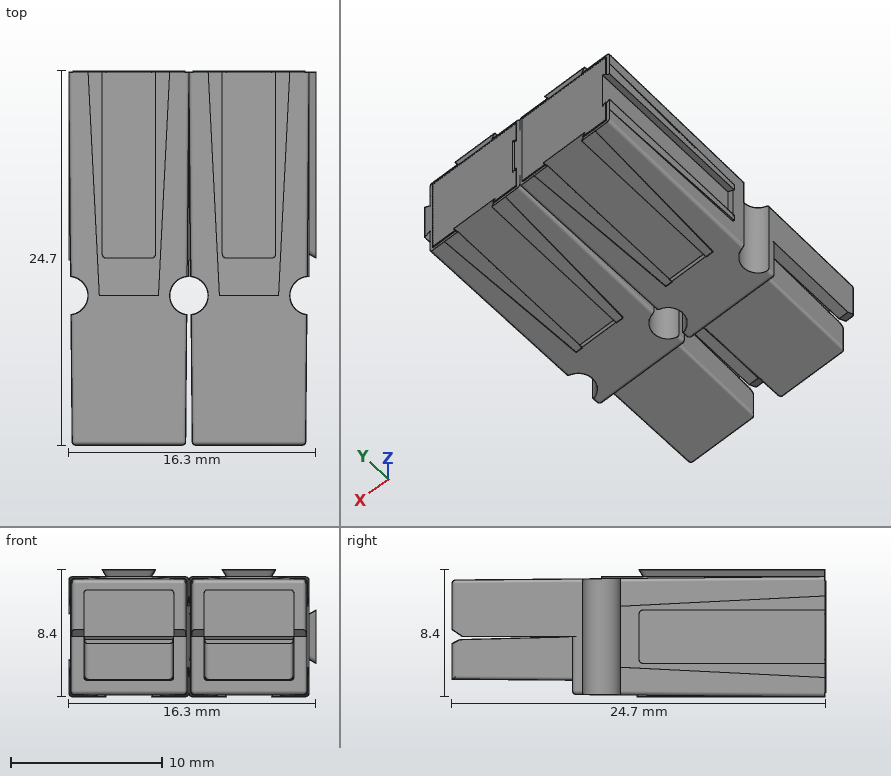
import cadquery as cq
import math


length = 24.7
size = 7.93
draft = 0.5
edge_radius = 0.25
back_plate_height = 0.07
back_plate_margin = 0.27
housing_count = 2

land_back_width = 5.39
rail_land_end = 9.88
rail_land_front_width = 3.9
groove_land_front_width = 4.15

rail_height = 0.47
rail_root_width = 3.0
rail_flank_angle = 30.0
rail_end = 12.35
rail_corner_radius = 0.35
groove_depth = 0.57
groove_end = 12.23

pin_radius = 1.25
pin_y = rail_land_end

block_front = 7.95
hood_bottom = 3.98
hood_chamfer_length = 0.7
hood_chamfer_height = 0.47
pocket_width = 5.93
pocket_top = 7.07
pocket_corner_radius = 0.25
tongue_bottom = 1.09
tongue_tip_height = 3.78
tongue_bevel_length = 0.52
tongue_bevel_height = 0.27
tongue_corner_radius = 0.27
tongue_edge_radius = 0.2

mid = size / 2
flank_slope = math.tan(math.radians(rail_flank_angle))
body_back = length - back_plate_height
draft_slope = math.tan(math.radians(draft))
front_inset = body_back * draft_slope


def box(x0, x1, y0, y1, z0, z1):
    return cq.Workplane("XY").box(x1 - x0, y1 - y0, z1 - z0, centered=False).translate((x0, y0, z0))


def drafted_block(front):
    """Square block from the back to `front`, rounded on every edge except at the back."""
    block = (
        cq.Workplane("XZ", origin=(mid, body_back, mid))
        .rect(size, size)
        .extrude(body_back - front, taper=draft)
    )
    return block.edges("not >Y").fillet(edge_radius)


def land(front, front_width):
    """Flat trapezoidal land whose outer face lies in the top plane of the housing."""
    return (
        cq.Workplane("XY", origin=(mid, 0, size))
        .polyline([
            (-land_back_width / 2, body_back),
            (land_back_width / 2, body_back),
            (front_width / 2, front),
            (-front_width / 2, front),
        ])
        .close()
        .extrude(-front_inset)
    )


def rail():
    """Dovetail on the top face, widening outward on both flanks and at its front end."""
    outer_width = rail_root_width + 2 * rail_height * flank_slope
    outer_length = 2 * (body_back - rail_end)
    dovetail = (
        cq.Workplane("XY", origin=(mid, body_back, size + rail_height))
        .rect(outer_width, outer_length)
        .extrude(-rail_height, taper=rail_flank_angle)
    )
    dovetail = dovetail.faces("<Y").edges("not |X").fillet(rail_corner_radius)
    return dovetail.intersect(box(0, size, 0, body_back, size, size + rail_height))


def groove():
    """Undercut slot in the top face, open at the back."""
    root = rail_root_width / 2
    floor = root + groove_depth * flank_slope
    return (
        cq.Workplane("XZ", origin=(mid, length, size))
        .polyline([(-root, 0), (root, 0), (floor, -groove_depth), (-floor, -groove_depth)])
        .close()
        .extrude(length - groove_end)
    )


def turned(shape, angle):
    """Turn a top-face feature clockwise, seen from the front, about the housing axis."""
    return shape.rotate((mid, 0, mid), (mid, 1, mid), angle)


def hood():
    """Upper half of the body reaching to the front, with its lower front lip chamfered."""
    upper = drafted_block(0).intersect(box(0, size, 0, length, hood_bottom, size))
    lip = (
        cq.Workplane("YZ")
        .polyline([
            (0, hood_bottom),
            (hood_chamfer_length, hood_bottom),
            (0, hood_bottom + hood_chamfer_height),
        ])
        .close()
        .extrude(size)
    )
    return upper.cut(lip)


def pocket():
    left = mid - pocket_width / 2
    space = box(left, left + pocket_width, 0, block_front, hood_bottom, pocket_top)
    return space.edges("|Y and >Z").fillet(pocket_corner_radius)


def tongue():
    """Contact tongue narrowing toward its bevelled tip, with a gently sloping top."""
    root_y = block_front + edge_radius
    tip_inset = root_y * draft_slope
    root_half = pocket_width / 2
    tip_half = root_half - tip_inset
    plan = (
        cq.Workplane("XY", origin=(mid, 0, 0))
        .polyline([(-tip_half, 0), (tip_half, 0), (root_half, root_y), (-root_half, root_y)])
        .close()
        .extrude(size)
    )
    profile = (
        cq.Workplane("YZ")
        .polyline([
            (0, tongue_bottom + tip_inset),
            (root_y, tongue_bottom),
            (root_y, hood_bottom),
            (tongue_bevel_length, tongue_tip_height),
            (0, tongue_tip_height - tongue_bevel_height),
        ])
        .close()
        .extrude(size)
    )
    bar = plan.intersect(profile).faces("<Z").edges("not |X").fillet(tongue_edge_radius)
    rounded_plan = plan.edges("|Z and <Y").fillet(tongue_corner_radius)
    return bar.intersect(rounded_plan)


def back_plate():
    width = size - 2 * back_plate_margin
    return cq.Workplane("XZ", origin=(mid, length, mid)).rect(width, width).extrude(back_plate_height)


def pin_holes():
    return (
        cq.Workplane("XY")
        .pushPoints([(0, pin_y), (size, pin_y)])
        .circle(pin_radius)
        .extrude(size)
    )


def housing():
    body = drafted_block(block_front).union(hood()).cut(pocket()).union(tongue()).union(back_plate())
    for angle in (0, 90):
        body = body.union(turned(land(rail_land_end, rail_land_front_width), angle))
        body = body.union(turned(rail(), angle))
    for angle in (180, 270):
        body = body.union(turned(land(groove_end, groove_land_front_width), angle))
        body = body.cut(turned(groove(), angle))
    return body.cut(pin_holes())


single = housing()
result = single
for index in range(1, housing_count):
    result = result.union(single.translate((index * size, 0, 0)))